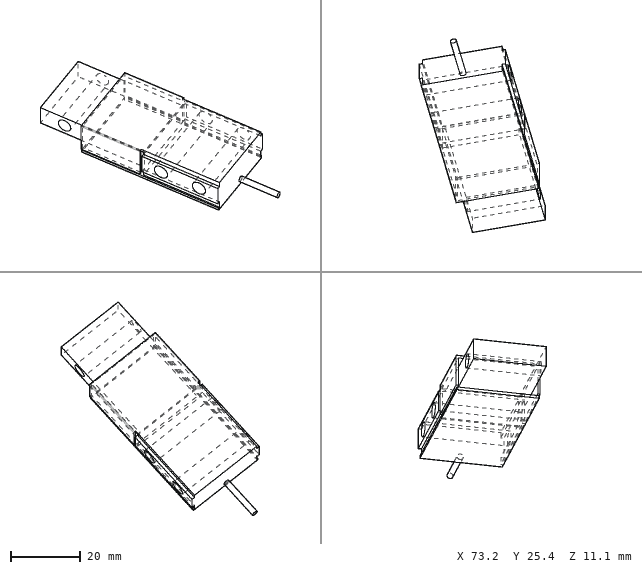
import cadquery as cq

BEAM_LENGTH = 60.45
TOTAL_LENGTH = 73.15
HOUSING_START = 14.65
SKIRT_END = 34.3
MOUNT_START = 35.1

TOTAL_HEIGHT = 11.05
PLATE_THICKNESS = 0.85
BEAM_BOTTOM = 3.05
BEAM_HEIGHT = 6.35
SKIRT_BOTTOM = 1.45

MOUNT_WIDTH = 25.4
COVER_WIDTH = 24.9
PLATE_WIDTH = 24.4
BEAM_WIDTH = 21.5
ROOF_THICKNESS = 0.85
SKIRT_THICKNESS = 0.7

COVER_EDGE_RADIUS = 0.3
SHOULDER_RADIUS = 0.8

LOAD_HOLE_X = 8.1
LOAD_HOLE_DIAMETER = 4.1
MOUNT_HOLE_X = 41.45
MOUNT_HOLE_SPACING = 12.7
MOUNT_HOLE_DIAMETER = 4.4

CABLE_DIAMETER = 1.8
CABLE_Z = 1.9
CABLE_Y = 0.25

CORE_WIDTH = COVER_WIDTH - 2 * SKIRT_THICKNESS
HOLE_Z = BEAM_BOTTOM + BEAM_HEIGHT / 2


def centred_block(x_start, x_end, width, z_bottom, z_top):
    """Box between two X stations and two heights, symmetric about Y = 0."""
    block = cq.Workplane("XY").box(x_end - x_start, width, z_top - z_bottom, centered=(False, True, False))
    return block.translate((x_start, 0, z_bottom))


def make_beam():
    """Flat bar that widens to the mounting end through concave shoulders."""
    beam_top = BEAM_BOTTOM + BEAM_HEIGHT
    beam = centred_block(0, BEAM_LENGTH, BEAM_WIDTH, BEAM_BOTTOM, beam_top)
    mount = centred_block(MOUNT_START, BEAM_LENGTH, MOUNT_WIDTH, BEAM_BOTTOM, beam_top)
    beam = beam.union(mount)
    for side in (-1, 1):
        inner_corner = cq.selectors.NearestToPointSelector((MOUNT_START, side * BEAM_WIDTH / 2, HOLE_Z))
        beam = beam.edges(inner_corner).fillet(SHOULDER_RADIUS)
    return beam


def make_cover():
    """Folded sheet over the beam: an inverted channel with rounded upper edges."""
    channel = centred_block(HOUSING_START, SKIRT_END, COVER_WIDTH, SKIRT_BOTTOM, TOTAL_HEIGHT)
    channel = channel.edges("|X and >Z").fillet(COVER_EDGE_RADIUS)
    roof_underside = TOTAL_HEIGHT - ROOF_THICKNESS
    return channel.cut(centred_block(HOUSING_START, SKIRT_END, CORE_WIDTH, 0, roof_underside))


def make_housing():
    """Roof sheet, base plate and the closed block around the mounting end."""
    roof = centred_block(
        HOUSING_START, BEAM_LENGTH, CORE_WIDTH, TOTAL_HEIGHT - ROOF_THICKNESS, TOTAL_HEIGHT
    )
    plate = centred_block(HOUSING_START, BEAM_LENGTH, PLATE_WIDTH, 0, PLATE_THICKNESS)
    block = centred_block(MOUNT_START, BEAM_LENGTH, CORE_WIDTH, 0, TOTAL_HEIGHT)
    return roof.union(plate).union(block)


def make_cable():
    """Round cable leaving the mounting end along X."""
    cable = cq.Workplane("YZ", origin=(BEAM_LENGTH, 0, 0)).center(CABLE_Y, CABLE_Z)
    return cable.circle(CABLE_DIAMETER / 2).extrude(TOTAL_LENGTH - BEAM_LENGTH)


def make_cross_hole(x, diameter):
    """Cutter for a hole passing right through the part along Y."""
    cutter = cq.Workplane("XZ").center(x, HOLE_Z).circle(diameter / 2)
    return cutter.extrude(MOUNT_WIDTH, both=True)


result = make_beam().union(make_cover()).union(make_housing()).union(make_cable())
result = result.cut(make_cross_hole(LOAD_HOLE_X, LOAD_HOLE_DIAMETER))
for hole_x in (MOUNT_HOLE_X, MOUNT_HOLE_X + MOUNT_HOLE_SPACING):
    result = result.cut(make_cross_hole(hole_x, MOUNT_HOLE_DIAMETER))